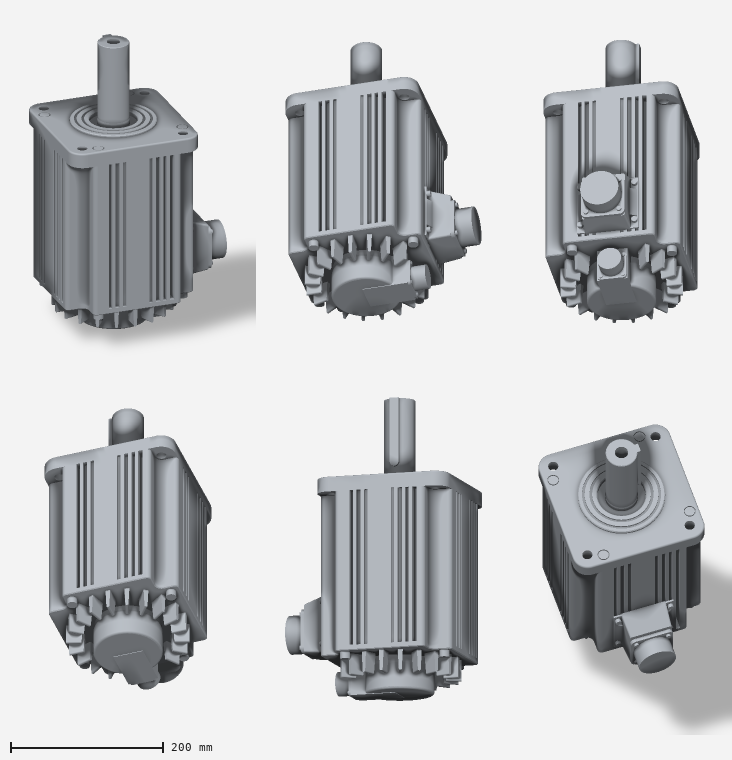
import cadquery as cq
import math


WIDTH = 180.0
DEPTH = 239.5
LENGTH = 392.5
SIDE = WIDTH / 2

FLANGE_THICKNESS = 20.0
FLANGE_CORNER_RADIUS = 20.0
FLANGE_EDGE_RADIUS = 2.5
MOUNT_HOLE_SPACING = 141.3
MOUNT_HOLE_DIAMETER = 13.5

PILOT_RADIUS = 57.3
PILOT_HEIGHT = 3.5
PILOT_CHAMFER = 1.0
PILOT_GROOVES = [(48.3, 51.8), (38.5, 42.0)]
PILOT_GROOVE_DEPTH = 2.5
RECESS_RADIUS = 31.8
RECESS_CHAMFER = 1.0
RECESS_FLOOR_Z = -3.0
SHAFT_RADIUS = 20.8
SHAFT_LENGTH = 113.0
SHAFT_CHAMFER = 0.8
SHOULDER_RADIUS = 21.5
SHOULDER_TOP_Z = 5.0
SHOULDER_BEVEL_HEIGHT = 2.5
TAP_RADIUS = 8.5
TAP_DEPTH = 35.5
DRILL_POINT_ANGLE = 118

KEY_WIDTH = 11.8
KEY_OUTER_X = 24.7
KEY_INNER_X = 15.5
KEY_END_Z = 22.0

CAP_TOP_Z = -226.0
CAP_BOTTOM_Z = -233.0
CAP_CHAMFER = 1.0
NOTCH_WALL = 61.5
NOTCH_OUTER_RADIUS = 6.0
NOTCH_INNER_RADIUS = 9.5
CORE_RADIUS = 88.3
GROOVE_SPANS = [(16.0, 20.8), (25.5, 31.5), (35.7, 40.5), (45.0, 51.0)]
GROOVES_ON_SHORT_SIDE = 3

TIE_BOLT_LONG = 77.3
TIE_BOLT_SHORT = 50.5
TIE_BOLT_RADIUS = 6.5
TIE_BOLT_HEAD_HEIGHT = 9.0
TIE_BOLT_GAP_RADIUS = 8.0
TIE_BOLT_GAP_DEPTH = 2.5

BOTTOM_Z = SHAFT_LENGTH - LENGTH
DRUM_RADIUS = 45.5
DRUM_BOTTOM_Z = -278.5
DRUM_EDGE_RADIUS = 3.0
NECK_RADIUS = 44.5
NECK_BOTTOM_Z = -240.0
DRUM_TOP_Z = -243.5
FIN_COUNT = 20
FIN_TIP_RADIUS = 81.0
FIN_INNER_ROOT_RADIUS = 59.0
FIN_INNER_EDGE_RADIUS = 61.0
FIN_BOTTOM_Z = -260.5
FIN_ROOT_WIDTH = 6.5
FIN_EDGE_WIDTH = 4.0
FIN_EDGE_RADIUS = 1.5
FIRST_GAP_ANGLE = 72
LAST_GAP_ANGLE = 108

ENCODER_HALF_WIDTH = 20.5
ENCODER_FRONT_Y = 61.2
ENCODER_PLATE_THICKNESS = 3.0
ENCODER_PLATE_CORNER_RADIUS = 4.5
ENCODER_SCREW_RADIUS = 2.5
ENCODER_SCREW_HEIGHT = 1.5
ENCODER_PLUG_RADIUS = 16.0
ENCODER_PLUG_END_Y = 83.5
ENCODER_PLUG_Z = -260.0

POWER_Z = -191.0
POWER_BASE_THICKNESS = 2.5
POWER_BASE_HALF_WIDTH = 41.2
POWER_BASE_TOP_Z = -146.0
POWER_BASE_BOTTOM_Z = -222.5
POWER_BOX_END_Y = 122.0
POWER_BOX_BASE_HALF_WIDTH = 31.0
POWER_BOX_END_HALF_WIDTH = 28.5
POWER_BOX_BASE_TOP_Z = -144.5
POWER_BOX_BASE_BOTTOM_Z = -223.0
POWER_BOX_END_TOP_Z = -156.0
POWER_BOX_END_BOTTOM_Z = -220.0
POWER_BOX_EDGE_RADIUS = 2.5
POWER_PLATE_HALF_WIDTH = 29.0
POWER_PLATE_THICKNESS = 4.7
POWER_PLATE_CORNER_RADIUS = 7.0
PLATE_SCREW_RADIUS = 3.0
PLATE_SCREW_HEIGHT = 3.0
POWER_PLUG_RADIUS = 25.5
POWER_PLUG_END_Y = DEPTH - SIDE
BASE_SCREW_X = 36.0
BASE_SCREW_RADIUS = 4.0
BASE_SCREW_HEIGHT = 4.7
BASE_SCREW_ZS = [-154.5, -211.5]
GUSSET_TOP_Z = -164.0
GUSSET_BOTTOM_Z = -205.0
GUSSET_FOOT_X = 39.2
GUSSET_CREST_X = 30.2
GUSSET_HEIGHT = 6.0

QUARTER_TURNS = [0, 90, 180, 270]


def cylinder(radius, bottom_z, top_z, x=0, y=0):
    return cq.Workplane("XY", origin=(x, y, bottom_z)).circle(radius).extrude(top_z - bottom_z)


def ring(inner_radius, outer_radius, bottom_z, top_z, x=0, y=0):
    plane = cq.Workplane("XY", origin=(x, y, bottom_z))
    return plane.circle(outer_radius).circle(inner_radius).extrude(top_z - bottom_z)


def plane_facing_y(y, x=0, z=0):
    """Workplane at this y whose normal is +Y, with local x along -X and local y along +Z."""
    return cq.Workplane(cq.Plane(origin=(x, y, z), xDir=(-1, 0, 0), normal=(0, 1, 0)))


def revolved(profile):
    """Solid of revolution about Z from (radius, z) points."""
    return cq.Workplane("XZ").polyline(profile).close().revolve(360, (0, 0), (0, 1))


def make_flange():
    flange = cq.Workplane("XY").rect(WIDTH, WIDTH).extrude(-FLANGE_THICKNESS)
    flange = flange.edges("|Z").fillet(FLANGE_CORNER_RADIUS)
    flange = flange.faces(">Z").edges().fillet(FLANGE_EDGE_RADIUS)
    holes = (
        cq.Workplane("XY")
        .rect(MOUNT_HOLE_SPACING, MOUNT_HOLE_SPACING, forConstruction=True)
        .vertices()
        .circle(MOUNT_HOLE_DIAMETER / 2)
        .extrude(-FLANGE_THICKNESS)
    )
    return flange.cut(holes)


def notched_square(bottom_z, top_z):
    """Square bar with a rounded square notch along each corner."""
    height = top_z - bottom_z
    bar = cq.Workplane("XY", origin=(0, 0, bottom_z)).rect(WIDTH, 2 * NOTCH_WALL).extrude(height)
    arm = cq.Workplane("XY", origin=(0, 0, bottom_z)).rect(2 * NOTCH_WALL, WIDTH).extrude(height)
    reach = (NOTCH_WALL + SIDE) / 2
    inner_edges = cq.selectors.BoxSelector((-reach, -reach, bottom_z), (reach, reach, top_z))
    cross = bar.union(arm)
    cross = cross.edges("|Z").edges(inner_edges).fillet(NOTCH_INNER_RADIUS)
    tips = cross.edges("|Z").edges(">X or <X or >Y or <Y")
    return tips.fillet(NOTCH_OUTER_RADIUS)


def make_body():
    body = notched_square(CAP_BOTTOM_Z, -FLANGE_THICKNESS)
    body = body.faces("<Z").edges().chamfer(CAP_CHAMFER)
    left_spans = [(-end, -start) for start, end in GROOVE_SPANS[:GROOVES_ON_SHORT_SIDE]]
    length = -FLANGE_THICKNESS - CAP_TOP_Z
    grooves = cq.Workplane("XY")
    for start, end in left_spans + GROOVE_SPANS:
        slab = cq.Workplane("XY").box(end - start, SIDE, length, centered=(False, False, False))
        slab = slab.translate((start, -SIDE, CAP_TOP_Z))
        for angle in QUARTER_TURNS:
            grooves = grooves.add(slab.rotate((0, 0, 0), (0, 0, 1), angle))
    grooves = grooves.combine().cut(cylinder(CORE_RADIUS, CAP_TOP_Z, -FLANGE_THICKNESS))
    return body.cut(grooves)


def make_pilot():
    pilot = cylinder(PILOT_RADIUS, 0, PILOT_HEIGHT).faces(">Z").edges().chamfer(PILOT_CHAMFER)
    for inner, outer in PILOT_GROOVES:
        pilot = pilot.cut(ring(inner, outer, PILOT_HEIGHT - PILOT_GROOVE_DEPTH, PILOT_HEIGHT))
    return pilot


def make_recess():
    rim = RECESS_RADIUS + RECESS_CHAMFER
    profile = [
        (0, RECESS_FLOOR_Z),
        (RECESS_RADIUS, RECESS_FLOOR_Z),
        (RECESS_RADIUS, PILOT_HEIGHT - RECESS_CHAMFER),
        (rim, PILOT_HEIGHT),
        (0, PILOT_HEIGHT),
    ]
    return revolved(profile)


def make_shaft():
    profile = [
        (0, RECESS_FLOOR_Z),
        (SHOULDER_RADIUS, RECESS_FLOOR_Z),
        (SHOULDER_RADIUS, SHOULDER_TOP_Z - SHOULDER_BEVEL_HEIGHT),
        (SHAFT_RADIUS, SHOULDER_TOP_Z),
        (SHAFT_RADIUS, SHAFT_LENGTH - SHAFT_CHAMFER),
        (SHAFT_RADIUS - SHAFT_CHAMFER, SHAFT_LENGTH),
        (0, SHAFT_LENGTH),
    ]
    shaft = revolved(profile)
    point_depth = TAP_RADIUS / math.tan(math.radians(DRILL_POINT_ANGLE / 2))
    hole_profile = [
        (0, SHAFT_LENGTH),
        (TAP_RADIUS, SHAFT_LENGTH),
        (TAP_RADIUS, SHAFT_LENGTH - TAP_DEPTH),
        (0, SHAFT_LENGTH - TAP_DEPTH - point_depth),
    ]
    hole = revolved(hole_profile)
    return shaft.cut(hole)


def make_key():
    """Key with a square end flush with the shaft end and a round lower end."""
    radius = KEY_WIDTH / 2
    arc_z = KEY_END_Z + radius
    return (
        cq.Workplane("YZ", origin=(-KEY_OUTER_X, 0, 0))
        .moveTo(-radius, SHAFT_LENGTH)
        .lineTo(-radius, arc_z)
        .threePointArc((0, KEY_END_Z), (radius, arc_z))
        .lineTo(radius, SHAFT_LENGTH)
        .close()
        .extrude(KEY_OUTER_X - KEY_INNER_X)
    )


def tie_bolt_places():
    """Four bolt centres, each a quarter turn from the one before."""
    places = []
    x, y = -TIE_BOLT_LONG, TIE_BOLT_SHORT
    for _ in QUARTER_TURNS:
        places.append((x, y))
        x, y = -y, x
    return places


def make_fin(angle):
    """Radial fin, thinner and shorter towards its rounded lower edge."""
    half_root = FIN_ROOT_WIDTH / 2
    half_edge = FIN_EDGE_WIDTH / 2
    section = [
        (-half_root, CAP_BOTTOM_Z),
        (-half_edge, FIN_BOTTOM_Z),
        (half_edge, FIN_BOTTOM_Z),
        (half_root, CAP_BOTTOM_Z),
    ]
    side = [
        (FIN_INNER_ROOT_RADIUS, CAP_BOTTOM_Z),
        (FIN_INNER_EDGE_RADIUS, FIN_BOTTOM_Z),
        (FIN_TIP_RADIUS, FIN_BOTTOM_Z),
        (FIN_TIP_RADIUS, CAP_BOTTOM_Z),
    ]
    blade = cq.Workplane("YZ").polyline(section).close().extrude(FIN_TIP_RADIUS)
    blade = blade.faces("<Z").edges("|X").fillet(FIN_EDGE_RADIUS)
    outline = cq.Workplane("XZ").polyline(side).close().extrude(half_root, both=True)
    return blade.intersect(outline).rotate((0, 0, 0), (0, 0, 1), angle)


def make_drum():
    profile = [
        (0, CAP_BOTTOM_Z),
        (NECK_RADIUS, CAP_BOTTOM_Z),
        (NECK_RADIUS, NECK_BOTTOM_Z),
        (DRUM_RADIUS, DRUM_TOP_Z),
        (DRUM_RADIUS, DRUM_BOTTOM_Z),
        (0, DRUM_BOTTOM_Z),
    ]
    drum = revolved(profile)
    return drum.faces("<Z").edges().fillet(DRUM_EDGE_RADIUS)


def make_encoder_connector():
    box = (
        cq.Workplane("XY", origin=(0, 0, BOTTOM_Z))
        .rect(2 * ENCODER_HALF_WIDTH, ENCODER_FRONT_Y)
        .extrude(CAP_BOTTOM_Z - BOTTOM_Z)
        .translate((0, ENCODER_FRONT_Y / 2, 0))
    )
    plate_half = ENCODER_PLUG_Z - BOTTOM_Z
    plate = (
        plane_facing_y(ENCODER_FRONT_Y, z=ENCODER_PLUG_Z)
        .rect(2 * plate_half, 2 * plate_half)
        .extrude(ENCODER_PLATE_THICKNESS)
        .edges("|Y")
        .fillet(ENCODER_PLATE_CORNER_RADIUS)
    )
    plate_end = ENCODER_FRONT_Y + ENCODER_PLATE_THICKNESS
    screw_spacing = 2 * (plate_half - ENCODER_PLATE_CORNER_RADIUS)
    screws = (
        plane_facing_y(plate_end, z=ENCODER_PLUG_Z)
        .rect(screw_spacing, screw_spacing, forConstruction=True)
        .vertices()
        .circle(ENCODER_SCREW_RADIUS)
        .extrude(ENCODER_SCREW_HEIGHT)
    )
    plug = (
        plane_facing_y(plate_end, z=ENCODER_PLUG_Z)
        .circle(ENCODER_PLUG_RADIUS)
        .extrude(ENCODER_PLUG_END_Y - plate_end)
    )
    return box.union(plate).union(screws).union(plug)


def power_box_section(y, half_width, bottom_z, top_z):
    """Rectangular wire across the tapered connector box."""
    plane = plane_facing_y(y, z=(bottom_z + top_z) / 2)
    return plane.rect(2 * half_width, top_z - bottom_z).wires().val()


def make_power_connector():
    base_top = SIDE + POWER_BASE_THICKNESS
    base_height = POWER_BASE_TOP_Z - POWER_BASE_BOTTOM_Z
    base_z = (POWER_BASE_TOP_Z + POWER_BASE_BOTTOM_Z) / 2
    base = (
        plane_facing_y(SIDE, z=base_z)
        .rect(2 * POWER_BASE_HALF_WIDTH, base_height)
        .extrude(POWER_BASE_THICKNESS)
    )
    base_section = power_box_section(
        SIDE, POWER_BOX_BASE_HALF_WIDTH, POWER_BOX_BASE_BOTTOM_Z, POWER_BOX_BASE_TOP_Z
    )
    end_section = power_box_section(
        POWER_BOX_END_Y, POWER_BOX_END_HALF_WIDTH, POWER_BOX_END_BOTTOM_Z, POWER_BOX_END_TOP_Z
    )
    box = cq.Workplane(cq.Solid.makeLoft([base_section, end_section], True))
    box = box.edges("not(#Y)").fillet(POWER_BOX_EDGE_RADIUS)
    plate = (
        plane_facing_y(POWER_BOX_END_Y, z=POWER_Z)
        .rect(2 * POWER_PLATE_HALF_WIDTH, 2 * POWER_PLATE_HALF_WIDTH)
        .extrude(POWER_PLATE_THICKNESS)
        .edges("|Y")
        .fillet(POWER_PLATE_CORNER_RADIUS)
    )
    plate_end = POWER_BOX_END_Y + POWER_PLATE_THICKNESS
    screw_spacing = 2 * (POWER_PLATE_HALF_WIDTH - POWER_PLATE_CORNER_RADIUS)
    plate_screws = (
        plane_facing_y(plate_end, z=POWER_Z)
        .rect(screw_spacing, screw_spacing, forConstruction=True)
        .vertices()
        .circle(PLATE_SCREW_RADIUS)
        .extrude(PLATE_SCREW_HEIGHT)
    )
    plug = (
        plane_facing_y(plate_end, z=POWER_Z)
        .circle(POWER_PLUG_RADIUS)
        .extrude(POWER_PLUG_END_Y - plate_end)
    )
    connector = base.union(box).union(plate).union(plate_screws).union(plug)
    gusset_profile = [
        (-GUSSET_FOOT_X, base_top),
        (GUSSET_FOOT_X, base_top),
        (GUSSET_CREST_X, base_top + GUSSET_HEIGHT),
        (-GUSSET_CREST_X, base_top + GUSSET_HEIGHT),
    ]
    gusset = (
        cq.Workplane("XY", origin=(0, 0, GUSSET_BOTTOM_Z))
        .polyline(gusset_profile)
        .close()
        .extrude(GUSSET_TOP_Z - GUSSET_BOTTOM_Z)
    )
    connector = connector.union(gusset)
    for x in (-BASE_SCREW_X, BASE_SCREW_X):
        for z in BASE_SCREW_ZS:
            screw = plane_facing_y(base_top, x, z).circle(BASE_SCREW_RADIUS).extrude(BASE_SCREW_HEIGHT)
            connector = connector.union(screw)
    return connector


def make_motor(key):
    motor = make_flange().union(make_body()).union(make_pilot())
    motor = motor.cut(make_recess()).union(make_shaft())
    for x, y in tie_bolt_places():
        motor = motor.cut(ring(TIE_BOLT_RADIUS, TIE_BOLT_GAP_RADIUS, -TIE_BOLT_GAP_DEPTH, 0, x, y))
        motor = motor.union(
            cylinder(TIE_BOLT_RADIUS, CAP_BOTTOM_Z - TIE_BOLT_HEAD_HEIGHT, -FLANGE_THICKNESS, x, y)
        )
    for index in range(FIN_COUNT):
        angle = index * 360 / FIN_COUNT
        if not FIRST_GAP_ANGLE <= angle <= LAST_GAP_ANGLE:
            motor = motor.union(make_fin(angle))
    motor = motor.union(make_drum())
    motor = motor.union(make_encoder_connector())
    motor = motor.union(make_power_connector())
    return motor.cut(key)


key = make_key()
motor = make_motor(key)
result = cq.Compound.makeCompound([motor.val(), key.val()])